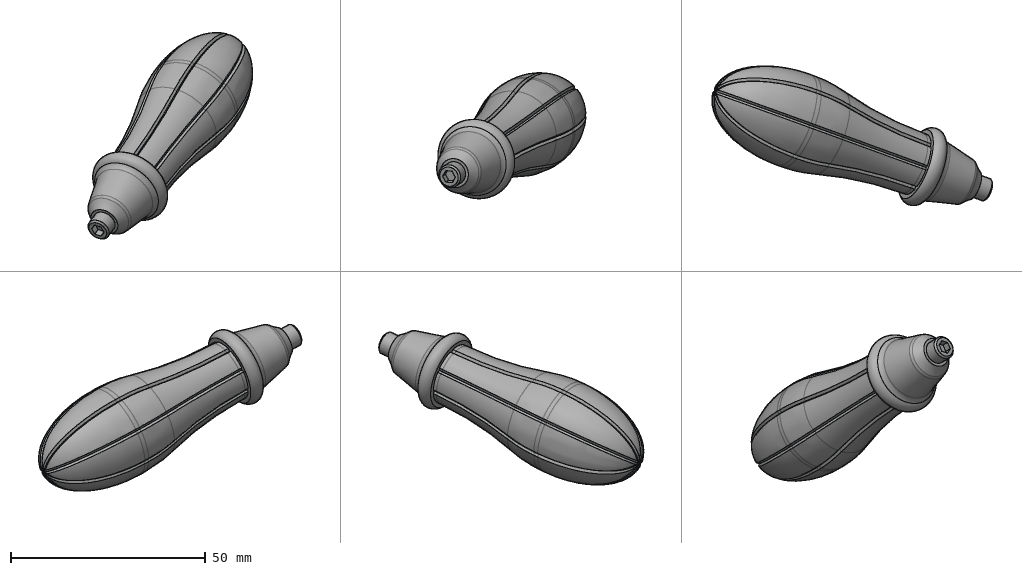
import cadquery as cq
import math


tip_y = 40.0
dome_base_y = 16.9
band_end_y = 15.7
bend_y = 6.6
neck_end_y = -17.9
grip_end_y = -18.9
grip_radius = 12.5
neck_radius = 8.2

groove_count = 8
groove_depth = 0.6
groove_half_width = 0.6

bead_round = 2.4
bead_radius = 10.5
bead_mid_y = -20.9
bead_bottom_y = -23.0

cone_top_radius = 8.2
cone_top_y = -24.5
cone_end_radius = 6.1
cone_end_y = -33.4
cone_end_fillet = 1.4
ferrule_end_radius = 3.8
ferrule_end_y = -36.1
end_hollow = 0.12

spindle_radius = 3.0
spindle_end_y = -40.0
spindle_chamfer = 0.5
socket_across_flats = 3.0
socket_depth = 2.0


def add_grip_curve(start):
    """Continue a sketch, which stands on the tip, down the outside of the grip to its lower end."""
    neck_length = band_end_y - neck_end_y
    neck_drop = grip_radius - neck_radius
    bend_radius = grip_radius - neck_drop * (band_end_y - bend_y) / neck_length
    return (
        start
        .ellipseArc(grip_radius, tip_y - dome_base_y, 0, 90, startAtCurrent=True, sense=-1)
        .lineTo(grip_radius, band_end_y)
        .tangentArcPoint((bend_radius, bend_y), relative=False)
        .tangentArcPoint((neck_radius, neck_end_y), relative=False)
        .lineTo(neck_radius, grip_end_y)
    )


def make_groove_cutter():
    """One V-shaped bar that follows the outside of the grip from the tip to the lower end.

    The V keeps its direction along the way, and stands as far out of the surface as it cuts in.
    """
    path = add_grip_curve(cq.Workplane("XY").moveTo(0, tip_y))
    section = (
        cq.Workplane("XZ", origin=(neck_radius, grip_end_y, 0))
        .polyline([
            (-groove_depth, 0),
            (groove_depth, 2 * groove_half_width),
            (groove_depth, -2 * groove_half_width),
        ])
        .close()
    )
    return section.sweep(path, normal=(0, 1, 0))


def make_grip():
    outline = add_grip_curve(cq.Workplane("XY").moveTo(0, tip_y)).lineTo(0, grip_end_y).close()
    grip = outline.revolve(360, (0, 0, 0), (0, 1, 0))
    cutter = make_groove_cutter()
    for index in range(groove_count):
        angle = index * 360 / groove_count
        grip = grip.cut(cutter.rotate((0, 0, 0), (0, 1, 0), angle))
    return grip


def bead_radius_at(y):
    centre_radius = bead_radius - bead_round
    return centre_radius + math.sqrt(bead_round ** 2 - (y - bead_mid_y) ** 2)


def make_bead():
    return (
        cq.Workplane("XY")
        .moveTo(spindle_radius, bead_bottom_y)
        .lineTo(bead_radius_at(bead_bottom_y), bead_bottom_y)
        .threePointArc((bead_radius, bead_mid_y), (bead_radius_at(grip_end_y), grip_end_y))
        .lineTo(spindle_radius, grip_end_y)
        .close()
        .revolve(360, (0, 0, 0), (0, 1, 0))
    )


def make_ferrule():
    ferrule = (
        cq.Workplane("XY")
        .moveTo(spindle_radius, ferrule_end_y)
        .lineTo(ferrule_end_radius, ferrule_end_y)
        .sagittaArc((cone_end_radius, cone_end_y), end_hollow)
        .lineTo(cone_top_radius, cone_top_y)
        .tangentArcPoint((bead_radius_at(bead_bottom_y), bead_bottom_y), relative=False)
        .lineTo(spindle_radius, bead_bottom_y)
        .close()
        .revolve(360, (0, 0, 0), (0, 1, 0))
    )
    cone_end = cq.selectors.NearestToPointSelector((0, cone_end_y, 0))
    return ferrule.edges("%CIRCLE").edges(cone_end).fillet(cone_end_fillet)


def make_spindle():
    end_plane = cq.Workplane("XZ", origin=(0, spindle_end_y, 0))
    spindle = (
        end_plane.circle(spindle_radius)
        .extrude(spindle_end_y - grip_end_y)
        .faces("<Y")
        .chamfer(spindle_chamfer)
    )
    socket_corner_diameter = socket_across_flats / math.cos(math.pi / 6)
    socket = end_plane.polygon(6, socket_corner_diameter).extrude(-socket_depth)
    return spindle.cut(socket)


grip = make_grip()
bead = make_bead()
ferrule = make_ferrule()
spindle = make_spindle()

result = cq.Compound.makeCompound([grip.val(), bead.val(), ferrule.val(), spindle.val()])